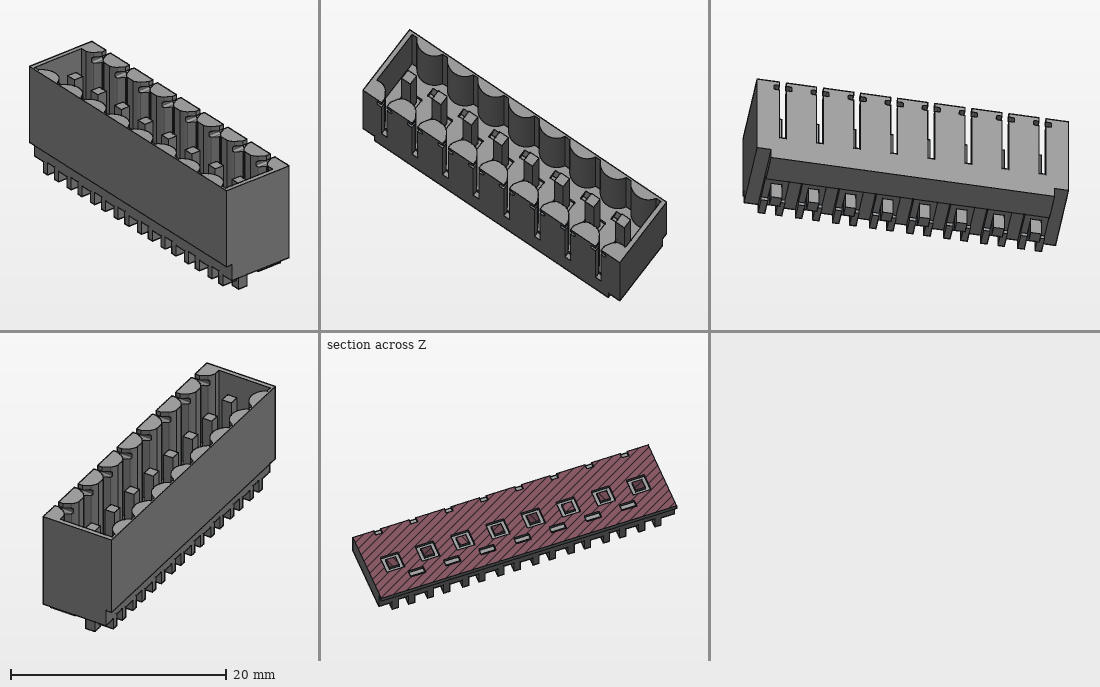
import cadquery as cq


pin_count = 8
pitch = 3.5
pin_size = 1.0
pin_tip_drop = 1.2

length = 29.4
front_y = -3.5
back_y = 3.95
base_front_y = -2.88
foot_bottom_z = 1.53
base_bottom_z = 2.68
step_z = 4.38
top_z = 12.55

end_wall = 0.47
cavity_front_y = -3.23
relief_front_y = -3.3
floor_z = 5.0
recess_depth = 0.45

front_rib_crest_y = -2.38
front_rib_radius = 1.65

post_face_y = 2.35
post_face_half = 0.4
post_mid_offset = 0.75
post_mid_y = 2.53
post_edge_offset = 1.03
post_edge_y = 2.75
post_root_y = 3.45
slot_width = 0.65

window_width = 1.7
window_height = 0.65
window_drop = 0.5
window_radius = 0.2

pin_well_size = 1.73
ramp_pocket_width = 1.45
ramp_pocket_back_y = -1.5
ramp_pocket_front_y = -2.38

foot_half_length = 13.38
channel_half_width = 1.3
channel_top_z = 1.95
pin_slot_top_z = 2.85
foot_gap_width = 1.25

pin_top_z = top_z - pin_tip_drop
recess_z = floor_z - recess_depth
pin_xs = [(i - (pin_count - 1) / 2) * pitch for i in range(pin_count)]
between_xs = [x + pitch / 2 for x in pin_xs[:-1]]
post_xs = [pin_xs[0] - pitch / 2] + between_xs + [pin_xs[-1] + pitch / 2]


def block(x0, x1, y0, y1, z0, z1):
    """A box between two opposite corners."""
    return cq.Workplane("XY").box(x1 - x0, y1 - y0, z1 - z0, centered=False).translate((x0, y0, z0))


def centred_block(x, width, y0, y1, z0, z1):
    """A box centred on x."""
    return block(x - width / 2, x + width / 2, y0, y1, z0, z1)


def outer_block():
    """Stepped housing block with the foot rail below it."""
    half = length / 2
    shell = block(-half, half, front_y, back_y, step_z, top_z)
    base = block(-half, half, base_front_y, back_y, base_bottom_z, step_z)
    feet = block(-foot_half_length, foot_half_length, base_front_y, back_y, foot_bottom_z, base_bottom_z)
    return shell.union(base).union(feet)


def front_rib(x):
    """Shallow round rib on the front wall of the cavity."""
    return (
        cq.Workplane("XY", origin=(x, front_rib_crest_y - front_rib_radius, floor_z))
        .circle(front_rib_radius)
        .extrude(top_z - floor_z)
    )


def back_post(x):
    """Post with a flat face, round shoulders and straight flanks to the back wall."""
    root_offset = (pitch - slot_width) / 2
    return (
        cq.Workplane("XY", origin=(x, 0, floor_z))
        .moveTo(-root_offset, back_y)
        .lineTo(-root_offset, post_root_y)
        .lineTo(-post_edge_offset, post_edge_y)
        .threePointArc((-post_mid_offset, post_mid_y), (-post_face_half, post_face_y))
        .lineTo(post_face_half, post_face_y)
        .threePointArc((post_mid_offset, post_mid_y), (post_edge_offset, post_edge_y))
        .lineTo(root_offset, post_root_y)
        .lineTo(root_offset, back_y)
        .close()
        .extrude(top_z - floor_z)
    )


def cavity():
    """Open space above the cavity floor, between the ribs and the posts."""
    half = length / 2 - end_wall
    space = block(-half, half, cavity_front_y, back_y, floor_z, top_z)
    for x in between_xs:
        space = space.union(centred_block(x, pitch / 2, relief_front_y, cavity_front_y, floor_z, top_z))
    for x in pin_xs:
        space = space.cut(front_rib(x))
    for x in post_xs:
        space = space.cut(back_post(x))
    return space


def latch_window(x):
    """Rounded window through the back wall and the flanks of two posts."""
    z1 = top_z - window_drop
    window = centred_block(x, window_width, post_face_y, back_y, z1 - window_height, z1)
    return window.edges("|Y").fillet(window_radius)


def ramp_pocket(x):
    """Floor pocket with a flat back half and a ramp up to its front edge."""
    middle_y = (ramp_pocket_back_y + ramp_pocket_front_y) / 2
    return (
        cq.Workplane("YZ", origin=(x - ramp_pocket_width / 2, 0, 0))
        .moveTo(ramp_pocket_back_y, floor_z)
        .lineTo(ramp_pocket_back_y, recess_z)
        .lineTo(middle_y, recess_z)
        .lineTo(ramp_pocket_front_y, floor_z)
        .close()
        .extrude(ramp_pocket_width)
    )


def make_housing():
    body = outer_block().cut(cavity())
    body = body.cut(
        block(-length / 2, length / 2, -channel_half_width, channel_half_width, foot_bottom_z, channel_top_z)
    )
    for x in pin_xs:
        body = body.cut(centred_block(x, slot_width, post_root_y, back_y, recess_z, top_z))
        body = body.cut(latch_window(x))
        body = body.cut(
            centred_block(x, pin_well_size, -pin_well_size / 2, pin_well_size / 2, recess_z, floor_z)
        )
        body = body.cut(make_pin(x))
        body = body.cut(
            centred_block(x, pin_size, base_front_y, -pin_size / 2, foot_bottom_z, pin_slot_top_z)
        )
    for x in between_xs:
        body = body.cut(ramp_pocket(x))
        body = body.cut(
            centred_block(x, foot_gap_width, base_front_y, channel_half_width, foot_bottom_z, base_bottom_z)
        )
    return body


def make_pin(x):
    """Straight square pin."""
    return centred_block(x, pin_size, -pin_size / 2, pin_size / 2, 0, pin_top_z)


housing = make_housing()
pins = [make_pin(x) for x in pin_xs]

result = cq.Compound.makeCompound([housing.val(), *[pin.val() for pin in pins]])